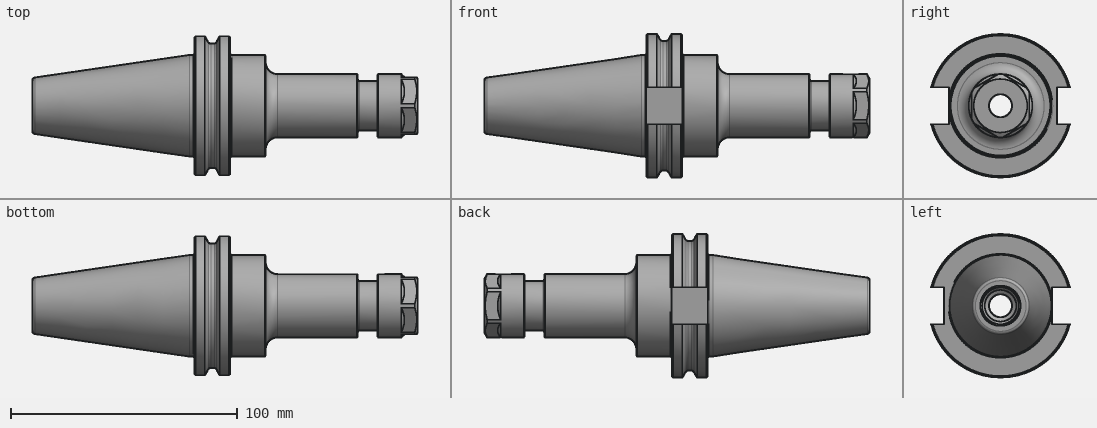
import cadquery as cq
import math


FLANGE_START = 71.3
FLANGE_WIDTH = 16.0
FLANGE_END = FLANGE_START + FLANGE_WIDTH
COLLAR_END = 103.0
SHANK_END = 143.5
NUT_START = 152.0
HEX_START = 162.5
NUT_END = 169.9

TAPER_RATIO = 7 / 24
GAUGE_DIAMETER = 44.8
TAPER_END = 69.1
TAPER_TIP_DIAMETER = GAUGE_DIAMETER - TAPER_END * TAPER_RATIO
TAPER_TIP_FILLET = 1.4

FLANGE_DIAMETER = 63.4
FLANGE_CHAMFER = 0.7
GROOVE_MOUTH = 6.5
GROOVE_DEPTH = 3.0
GROOVE_SIDE_ANGLE = 30
GROOVE_FILLET = 1.2
FLANGE_ROOT_FILLET = 0.5

SLOT_WIDTH = 16.1
DEEP_SLOT_FLOOR = 22.8
SHALLOW_SLOT_FLOOR = 25.0

COLLAR_DIAMETER = 44.8
COLLAR_CHAMFER = 0.5
SHANK_DIAMETER = 28.0
SHANK_FILLET = 5.1
SHANK_CHAMFER = 0.5
NECK_DIAMETER = 21.9
NECK_FILLET = 0.5

BORE_DIAMETER = 10.0
MOUTH_DIAMETER = 17.8
COUNTERBORE_DIAMETER = 16.3
COUNTERBORE_END = 4.0
THREAD_DIAMETER = 14.0
THREAD_END = 30.5
MOUTH_CONE_DEPTH = 0.8
STEP_CONE_DEPTH = 1.9
DRILL_POINT_ANGLE = 118

NUT_DIAMETER = 28.0
NUT_BACK_CHAMFER = 0.5
HEX_SIDES = 6
HEX_ACROSS_FLATS = 25.1
HEX_RUNOUT_DEPTH = (NUT_DIAMETER - HEX_ACROSS_FLATS) / 2
NUT_TIP_DIAMETER = 23.6
NUT_TIP_ANGLE = 30
NUT_TIP_LENGTH = (NUT_DIAMETER - NUT_TIP_DIAMETER) / 2 * math.tan(math.radians(NUT_TIP_ANGLE))

ARC_MIDDLE = 1 - math.sqrt(0.5)


def revolve_about_x(profile):
    """Turn a closed half profile, drawn as (x, radius), about the X axis."""
    return profile.revolve(360, (0, 0, 0), (1, 0, 0))


def turned(stations):
    """Turn a solid from (x, diameter) stations that are joined by straight lines."""
    first_x = stations[0][0]
    last_x = stations[-1][0]
    points = [(x, diameter / 2) for x, diameter in stations]
    return revolve_about_x(cq.Workplane("XY").polyline([(first_x, 0), *points, (last_x, 0)]).close())


def circle_at(x, diameter):
    """Select the circular edges of a diameter that lie in the plane at x."""
    tolerance = 0.02
    reach = diameter / 2 + tolerance
    return cq.selectors.BoxSelector((x - tolerance, -reach, -reach), (x + tolerance, reach, reach), True)


def make_taper():
    taper = turned([
        (0, TAPER_TIP_DIAMETER),
        (TAPER_END, GAUGE_DIAMETER),
        (FLANGE_START, GAUGE_DIAMETER),
    ])
    return taper.faces("<X").edges().fillet(TAPER_TIP_FILLET)


def make_flange():
    flange = (
        cq.Workplane("YZ", origin=(FLANGE_START, 0, 0))
        .circle(FLANGE_DIAMETER / 2)
        .extrude(FLANGE_WIDTH)
        .edges()
        .chamfer(FLANGE_CHAMFER)
    )
    return flange.cut(make_grip_groove())


def make_drive_slots():
    """The two boxes that cut the drive slots, long enough to clear the fillets at both flange faces."""
    center_x = FLANGE_START + FLANGE_WIDTH / 2
    length = 2 * FLANGE_WIDTH
    depth = FLANGE_DIAMETER / 2
    slots = cq.Workplane("XY")
    for side, floor in ((-1, DEEP_SLOT_FLOOR), (1, SHALLOW_SLOT_FLOOR)):
        center_y = side * (floor + depth / 2)
        slot = cq.Workplane("XY").box(length, depth, SLOT_WIDTH)
        slots = slots.union(slot.translate((center_x, center_y, 0)))
    return slots


def make_grip_groove():
    """The V groove around the flange, as the V-section disc to remove."""
    center = FLANGE_START + FLANGE_WIDTH / 2
    rim = FLANGE_DIAMETER / 2
    root = rim - GROOVE_DEPTH
    half_mouth = GROOVE_MOUTH / 2
    half_floor = half_mouth - GROOVE_DEPTH * math.tan(math.radians(GROOVE_SIDE_ANGLE))
    profile = cq.Workplane("XY").polyline([
        (center - half_mouth, rim),
        (center - half_floor, root),
        (center + half_floor, root),
        (center + half_mouth, rim),
    ])
    groove = revolve_about_x(profile.close())
    floor_edges = [circle_at(center + side * half_floor, 2 * root) for side in (-1, 1)]
    return groove.edges(floor_edges[0] + floor_edges[1]).fillet(GROOVE_FILLET)


def make_front_end():
    """The collar, shank and neck, as one turned shape."""
    collar = COLLAR_DIAMETER / 2
    shank = SHANK_DIAMETER / 2
    neck = NECK_DIAMETER / 2
    fillet_middle = SHANK_FILLET * ARC_MIDDLE
    neck_fillet_middle = NECK_FILLET * ARC_MIDDLE
    profile = (
        cq.Workplane("XY")
        .moveTo(FLANGE_END, 0)
        .lineTo(FLANGE_END, collar)
        .lineTo(COLLAR_END - COLLAR_CHAMFER, collar)
        .lineTo(COLLAR_END, collar - COLLAR_CHAMFER)
        .lineTo(COLLAR_END, shank + SHANK_FILLET)
        .threePointArc(
            (COLLAR_END + fillet_middle, shank + fillet_middle),
            (COLLAR_END + SHANK_FILLET, shank),
        )
        .lineTo(SHANK_END - SHANK_CHAMFER, shank)
        .lineTo(SHANK_END, shank - SHANK_CHAMFER)
        .lineTo(SHANK_END, neck + NECK_FILLET)
        .threePointArc(
            (SHANK_END + neck_fillet_middle, neck + neck_fillet_middle),
            (SHANK_END + NECK_FILLET, neck),
        )
        .lineTo(NUT_START, neck)
        .lineTo(NUT_START, 0)
        .close()
    )
    return revolve_about_x(profile)


def make_bore():
    """The stepped hole from the taper tip to the end of the neck."""
    drill_point_radius = (THREAD_DIAMETER - BORE_DIAMETER) / 2
    drill_point_depth = drill_point_radius / math.tan(math.radians(DRILL_POINT_ANGLE / 2))
    return turned([
        (0, MOUTH_DIAMETER),
        (MOUTH_CONE_DEPTH, COUNTERBORE_DIAMETER),
        (COUNTERBORE_END, COUNTERBORE_DIAMETER),
        (COUNTERBORE_END + STEP_CONE_DEPTH, THREAD_DIAMETER),
        (THREAD_END, THREAD_DIAMETER),
        (THREAD_END + drill_point_depth, BORE_DIAMETER),
        (NUT_START, BORE_DIAMETER),
    ])


def make_root_fillet(face_x, diameter, outward):
    """The concave ring between a flange face and a cylinder; outward is the X direction off the face."""
    inner = diameter / 2
    outer = inner + FLANGE_ROOT_FILLET
    tip_x = face_x + outward * FLANGE_ROOT_FILLET
    arc_offset = FLANGE_ROOT_FILLET * ARC_MIDDLE
    profile = (
        cq.Workplane("XY")
        .moveTo(face_x, 0)
        .lineTo(face_x, outer)
        .threePointArc((face_x + outward * arc_offset, inner + arc_offset), (tip_x, inner))
        .lineTo(tip_x, 0)
        .close()
    )
    return revolve_about_x(profile)


def make_holder():
    return (
        make_taper()
        .union(make_flange())
        .union(make_root_fillet(FLANGE_START, GAUGE_DIAMETER, -1))
        .union(make_front_end())
        .union(make_root_fillet(FLANGE_END, COLLAR_DIAMETER, 1))
        .cut(make_drive_slots())
        .cut(make_bore())
    )


def make_nut():
    round_section = turned([
        (NUT_START, NUT_DIAMETER - 2 * NUT_BACK_CHAMFER),
        (NUT_START + NUT_BACK_CHAMFER, NUT_DIAMETER),
        (HEX_START, NUT_DIAMETER),
        (HEX_START + HEX_RUNOUT_DEPTH, HEX_ACROSS_FLATS),
    ])
    across_corners = HEX_ACROSS_FLATS / math.cos(math.pi / HEX_SIDES)
    hexagon = (
        cq.Workplane("YZ", origin=(HEX_START, 0, 0))
        .polygon(HEX_SIDES, across_corners)
        .extrude(NUT_END - HEX_START)
        .rotate((0, 0, 0), (1, 0, 0), 90)
    )
    corner_limit = turned([
        (HEX_START, NUT_DIAMETER),
        (NUT_END - NUT_TIP_LENGTH, NUT_DIAMETER),
        (NUT_END, NUT_TIP_DIAMETER),
    ])
    hole = (
        cq.Workplane("YZ", origin=(NUT_START, 0, 0))
        .circle(BORE_DIAMETER / 2)
        .extrude(NUT_END - NUT_START)
    )
    return round_section.union(hexagon.intersect(corner_limit)).cut(hole)


holder = make_holder()
nut = make_nut()

result = cq.Compound.makeCompound([holder.solids().val(), nut.solids().val()])